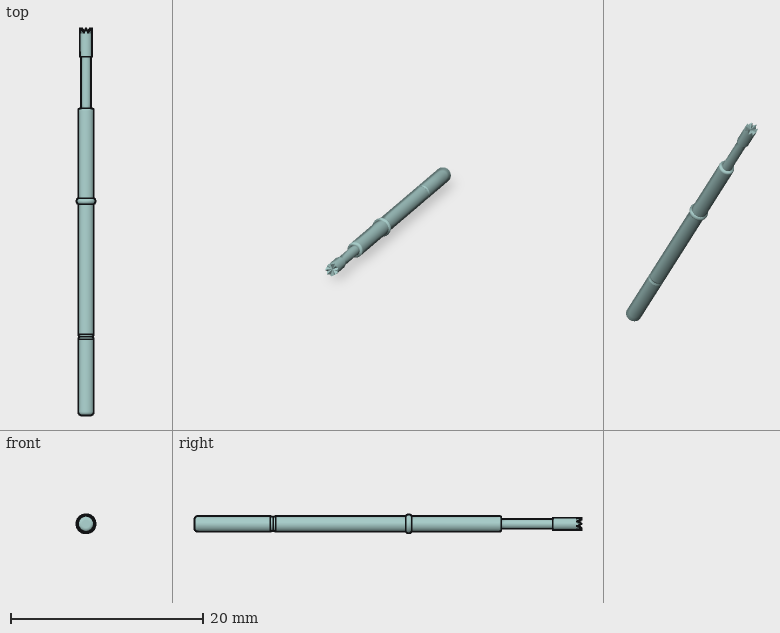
import cadquery as cq
import math

overall_length = 40.3
collar_from_tail = 22.3

barrel_radius = 1.65 / 2
tail_round = 0.4
mouth_round = 0.22
barrel_length = 31.95

collar_radius = 1.0
collar_width = 0.6

groove_from_tail = 8.2
groove_width = 0.55
groove_depth = 0.1

plunger_radius = 1.05 / 2
head_radius = 1.3 / 2
head_length = 3.0

tooth_count = 8
tooth_height = 0.5
notch_half_width = 0.24

tail_y = -collar_from_tail
tip_y = tail_y + overall_length
mouth_y = tail_y + barrel_length
head_y = tip_y - head_length
groove_y = tail_y + groove_from_tail


def make_barrel_and_plunger():
    """Revolve the stepped profile, from the tail to the uncut head, about Y."""
    tail_mid = tail_round * math.sqrt(0.5)
    tail_centre_x = barrel_radius - tail_round
    tail_centre_y = tail_y + tail_round
    mouth_mid = mouth_round * math.sqrt(0.5)
    mouth_centre_x = barrel_radius - mouth_round
    mouth_centre_y = mouth_y - mouth_round
    profile = (
        cq.Workplane("XY")
        .moveTo(0, tail_y)
        .lineTo(tail_centre_x, tail_y)
        .threePointArc(
            (tail_centre_x + tail_mid, tail_centre_y - tail_mid),
            (barrel_radius, tail_centre_y),
        )
        .lineTo(barrel_radius, groove_y - groove_width / 2)
        .lineTo(barrel_radius - groove_depth, groove_y)
        .lineTo(barrel_radius, groove_y + groove_width / 2)
        .lineTo(barrel_radius, mouth_centre_y)
        .threePointArc(
            (mouth_centre_x + mouth_mid, mouth_centre_y + mouth_mid),
            (mouth_centre_x, mouth_y),
        )
        .lineTo(plunger_radius, mouth_y)
        .lineTo(plunger_radius, head_y)
        .lineTo(head_radius, head_y)
        .lineTo(head_radius, tip_y)
        .lineTo(0, tip_y)
        .close()
    )
    return profile.revolve(360, (0, 0, 0), (0, 1, 0))


def make_collar():
    """Revolve the ring with its bulged outer face, starting inside the barrel wall."""
    inner_radius = barrel_radius / 2
    half_width = collar_width / 2
    profile = (
        cq.Workplane("XY")
        .moveTo(inner_radius, -half_width)
        .lineTo(barrel_radius, -half_width)
        .threePointArc((collar_radius, 0), (barrel_radius, half_width))
        .lineTo(inner_radius, half_width)
        .close()
    )
    return profile.revolve(360, (0, 0, 0), (0, 1, 0))


def make_notch(angle):
    """V-shaped cutter running across the crown, turned about Y."""
    reach = 2 * head_radius
    cutter = (
        cq.Workplane("XY")
        .moveTo(0, tip_y - tooth_height)
        .lineTo(notch_half_width, tip_y)
        .lineTo(-notch_half_width, tip_y)
        .close()
        .extrude(reach, both=True)
    )
    return cutter.rotate((0, 0, 0), (0, 1, 0), angle)


result = make_barrel_and_plunger().union(make_collar())
tooth_pitch = 360 / tooth_count
for i in range(tooth_count // 2):
    result = result.cut(make_notch((i + 0.5) * tooth_pitch))